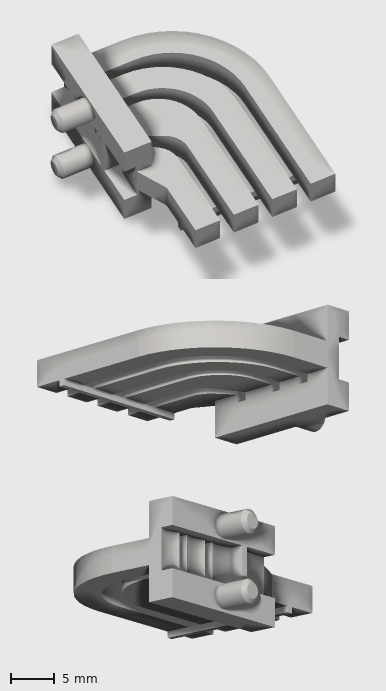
import cadquery as cq


BAR_LENGTH = 18.0
BAR_DEPTH = 3.52
BAR_HEIGHT = 11.94

PIN_X = 9.05
PIN_DIAMETER = 2.9
PIN_LENGTH = 4.32
PIN_CHAMFER = 0.5
PIN_SPACING = 8.24

ARM_WIDTH = 3.18
ARM_THICKNESS = 3.2
ARM_TIP_X = 28.75
TOTAL_DEPTH = 25.9
BACK_Y = TOTAL_DEPTH - PIN_LENGTH
LAST_ARM_FRONT_Y = 3.55
ARM_COUNT = 4
ARM_PITCH = (BACK_Y - ARM_WIDTH - LAST_ARM_FRONT_Y) / (ARM_COUNT - 1)

GAP_WIDTH = 1.3
GAP_STARTS = (3.22, 7.65, 13.12)

FIRST_BEND_RADIUS = 12.55
SECOND_BEND_RADIUS = 9.7
THIRD_BEND_RADIUS = 5.4
SLANT_BEND_RADIUS = 3.0

THIRD_INNER_CORNER_X = 15.55
LAST_OUTER_CORNER_X = 16.95
LAST_INNER_CORNER_X = 21.67

POCKET_HEIGHT = 5.1
POCKET_DEPTH = 1.65
SCOOP_SAG = 0.4
WEB_THICKNESS = 0.8

RIB_X = 24.43
RIB_WIDTH = 0.72
RIB_HEIGHT = 0.75


def block(x_start, x_end, y_start, y_end, z_start, z_end):
    """Box given by its limits along each axis."""
    size = (x_end - x_start, y_end - y_start, z_end - z_start)
    return cq.Workplane("XY").box(*size, centered=False).translate((x_start, y_start, z_start))


def pocket_block(x_start, x_end, y_start, y_end):
    """Box as tall as the pocket, centred on z = 0."""
    return block(x_start, x_end, y_start, y_end, -POCKET_HEIGHT / 2, POCKET_HEIGHT / 2)


def arm_back_y(index):
    """Rear edge of an arm, counted from the rearmost one."""
    return BACK_Y - index * ARM_PITCH


def arm_root(index):
    """Start and end of an arm along X where it meets the bar."""
    starts = [0.0] + [gap + GAP_WIDTH for gap in GAP_STARTS]
    ends = list(GAP_STARTS) + [BAR_LENGTH]
    return starts[index], ends[index]


def round_corner(body, corner, radius):
    """Round the upright edge at the given XY corner."""
    return body.edges("|Z").edges(cq.selectors.NearestToPointSelector((*corner, 0))).fillet(radius)


def bent_arm(index, outer_x, inner_x, outer_radius, inner_radius=None, root_y=BAR_DEPTH):
    """Arm that leaves the bar, turns at its outer and inner corners and runs to the tip."""
    root_start, root_end = arm_root(index)
    back_y = arm_back_y(index)
    outer_corner = (outer_x, back_y)
    inner_corner = (inner_x, back_y - ARM_WIDTH)
    outline = [
        (root_start, BAR_DEPTH),
        outer_corner,
        (ARM_TIP_X, back_y),
        (ARM_TIP_X, back_y - ARM_WIDTH),
        inner_corner,
        (root_end, root_y),
    ]
    arm = cq.Workplane("XY").polyline(outline).close().extrude(ARM_THICKNESS / 2, both=True)
    arm = round_corner(arm, outer_corner, outer_radius)
    if inner_radius is not None:
        arm = round_corner(arm, inner_corner, inner_radius)
    return arm


def upright_arm(index, radius):
    """Arm with upright root edges and an inner bend one arm width tighter than the outer."""
    root_start, root_end = arm_root(index)
    return bent_arm(index, root_start, root_end, radius, radius - ARM_WIDTH)


def make_arms():
    first = upright_arm(0, FIRST_BEND_RADIUS)
    second = upright_arm(1, SECOND_BEND_RADIUS)
    third = bent_arm(2, arm_root(2)[0], THIRD_INNER_CORNER_X, THIRD_BEND_RADIUS, SLANT_BEND_RADIUS)
    last = bent_arm(3, LAST_OUTER_CORNER_X, LAST_INNER_CORNER_X, SLANT_BEND_RADIUS, root_y=POCKET_DEPTH)
    return [first, second, third, last]


def make_scoop(x_start, x_end):
    """Front recess over one arm root, with a hollow cylindrical floor."""
    middle = ((x_start + x_end) / 2, POCKET_DEPTH + SCOOP_SAG)
    return (
        cq.Workplane("XY")
        .moveTo(x_start, 0)
        .lineTo(x_start, POCKET_DEPTH)
        .threePointArc(middle, (x_end, POCKET_DEPTH))
        .lineTo(x_end, 0)
        .close()
        .extrude(POCKET_HEIGHT / 2, both=True)
    )


def make_bar():
    bar = block(0, BAR_LENGTH, 0, BAR_DEPTH, -BAR_HEIGHT / 2, BAR_HEIGHT / 2)
    for gap_start in GAP_STARTS:
        bar = bar.cut(pocket_block(gap_start, gap_start + GAP_WIDTH, 0, BAR_DEPTH))

    scoop_ends = (GAP_STARTS[0], GAP_STARTS[1], GAP_STARTS[2] - WEB_THICKNESS)
    for index, scoop_end in enumerate(scoop_ends):
        bar = bar.cut(make_scoop(arm_root(index)[0], scoop_end))

    return bar.cut(pocket_block(*arm_root(3), 0, POCKET_DEPTH))


def make_pin(z):
    return (
        cq.Workplane("XZ")
        .center(PIN_X, z)
        .circle(PIN_DIAMETER / 2)
        .extrude(PIN_LENGTH)
        .faces("<Y")
        .chamfer(PIN_CHAMFER)
    )


def make_rib():
    arm_bottom = -ARM_THICKNESS / 2
    return block(RIB_X, RIB_X + RIB_WIDTH, LAST_ARM_FRONT_Y, BACK_Y, arm_bottom - RIB_HEIGHT, arm_bottom)


result = make_bar()
for arm in make_arms():
    result = result.union(arm)
for side in (-1, 1):
    result = result.union(make_pin(side * PIN_SPACING / 2))
result = result.union(make_rib())